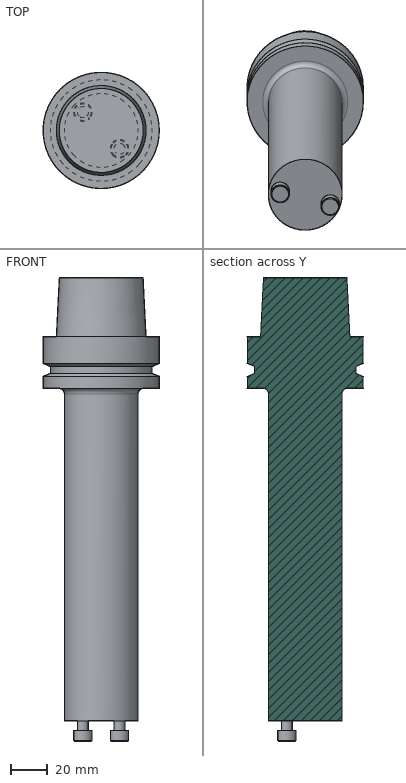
import cadquery as cq
import math

OVERALL_LENGTH = 251.0

TAPER_LENGTH = 32.0
TAPER_RATIO = 1 / 10
TAPER_GAUGE_DIAMETER = 48.0
TAPER_GAUGE_HEIGHT = 6.3

FLANGE_DIAMETER = 63.0
FLANGE_THICKNESS = 28.0
GROOVE_DIAMETER = 55.0
GROOVE_CENTER_DEPTH = 18.0
GROOVE_WIDTH = 7.0
GROOVE_WALL_ANGLE = 23.0

BODY_DIAMETER = 40.0
NECK_FILLET_RADIUS = 3.0

SCREW_CIRCLE_DIAMETER = 28.0
SCREW_SHANK_DIAMETER = 6.0
SCREW_HEAD_DIAMETER = 10.0
SCREW_HEAD_HEIGHT = 6.0
SCREW_HEAD_CHAMFER = 0.5
SCREW_EXPOSED_LENGTH = 11.1

body_end_z = TAPER_LENGTH - OVERALL_LENGTH + SCREW_EXPOSED_LENGTH
screw_offset = SCREW_CIRCLE_DIAMETER / 2 * math.sqrt(0.5)


def taper_radius(z):
    """Radius of the taper at height z."""
    return (TAPER_GAUGE_DIAMETER + (TAPER_GAUGE_HEIGHT - z) * TAPER_RATIO) / 2


def make_holder():
    """Taper, grooved flange and filleted body as one revolved profile."""
    flange_radius = FLANGE_DIAMETER / 2
    groove_radius = GROOVE_DIAMETER / 2
    body_radius = BODY_DIAMETER / 2
    wall_drop = (flange_radius - groove_radius) * math.tan(math.radians(GROOVE_WALL_ANGLE))
    groove_top = -GROOVE_CENTER_DEPTH + GROOVE_WIDTH / 2
    groove_bottom = groove_top - GROOVE_WIDTH
    fillet_end_z = -FLANGE_THICKNESS - NECK_FILLET_RADIUS
    fillet_inset = NECK_FILLET_RADIUS * (1 - math.sqrt(0.5))

    profile = (
        cq.Workplane("XZ")
        .moveTo(0, TAPER_LENGTH)
        .lineTo(taper_radius(TAPER_LENGTH), TAPER_LENGTH)
        .lineTo(taper_radius(0), 0)
        .lineTo(flange_radius, 0)
        .lineTo(flange_radius, groove_top)
        .lineTo(groove_radius, groove_top - wall_drop)
        .lineTo(groove_radius, groove_bottom + wall_drop)
        .lineTo(flange_radius, groove_bottom)
        .lineTo(flange_radius, -FLANGE_THICKNESS)
        .lineTo(body_radius + NECK_FILLET_RADIUS, -FLANGE_THICKNESS)
        .threePointArc(
            (body_radius + fillet_inset, -FLANGE_THICKNESS - fillet_inset),
            (body_radius, fillet_end_z),
        )
        .lineTo(body_radius, body_end_z)
        .lineTo(0, body_end_z)
        .close()
    )
    return profile.revolve(360, (0, 0, 0), (0, 1, 0))


def make_screw(x, y):
    """Exposed shank and chamfered head of a screw hanging from the body end at (x, y)."""
    end_plane = cq.Workplane("XY", origin=(x, y, body_end_z))
    shank = end_plane.circle(SCREW_SHANK_DIAMETER / 2).extrude(-SCREW_EXPOSED_LENGTH)
    head = (
        end_plane.workplane(offset=-SCREW_EXPOSED_LENGTH)
        .circle(SCREW_HEAD_DIAMETER / 2)
        .extrude(SCREW_HEAD_HEIGHT)
        .faces("<Z")
        .chamfer(SCREW_HEAD_CHAMFER)
    )
    return shank.union(head)


result = make_holder()
for side in (1, -1):
    result = result.union(make_screw(side * screw_offset, -side * screw_offset))